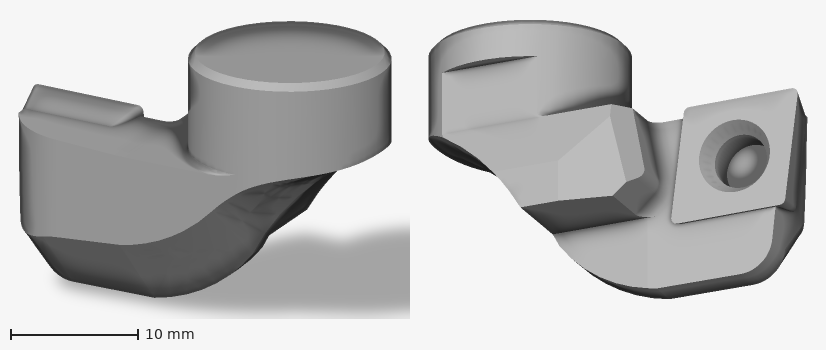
import cadquery as cq
import math

head_diameter = 16.0
head_radius = head_diameter / 2
head_top = 8.3
head_root = -8.3
head_chamfer = 0.55
neck_fillet = 0.4
flat_y = 6.8
flat_top = 5.07
rear_slope_bottom = -4.4

turn_angle = 6.5
turn_sin = math.sin(math.radians(turn_angle))
turn_cos = math.cos(math.radians(turn_angle))
frame_y = -0.35
toe_back_offset = 2.75

toe_corner_radius = 6.15
toe_corner_x = -16.67
toe_corner_sweep = 62.0

sole_heel = (-18.68, -13.45)
sole_toe = (-21.35, -10.85)
sole_lowest = (-11.57, -13.75)
sole_belly = (-7.15, -12.3)
sole_bend = (-3.03, -8.83)
sole_hollow = (2.65, -1.9)
sole_tail = (9.55, 1.75)
toe_round_middle = (-20.65, -12.5)
toe_lean = 6.0

bevel_reach = head_diameter
belly_rise = 14.65
bend_rise = 12.75
hollow_rise = 5.75
tail_rise = -1.27

far = 31.87

deck_blend = (-12.43, -11.0)
toe_top_slope = 3.0

block_top_u = -11.15
block_edge = (-12.3, -5.75)
block_bottom_u = -10.2
toe_rear_y = 1.15
block_nose_start = (-12.72, 5.58)
rear_bevel_start = (-11.95, 6.85)
rear_bevel_end = (-6.75, 8.0)
block_bottom = -7.75
block_edge_fillet = 1.15
cavity_fillet = 0.95
cavity_top = 3.2

insert_edge = 9.65
insert_thickness = 3.98
insert_corner = (-23.95, 0.1, 1.35)
insert_top_tilt = 3.0
insert_side_tilt = 7.0
insert_relief = 10.5
insert_nose_radius = 0.5
insert_hole = 4.4
insert_sink = 6.0
insert_sink_angle = 60.0


def turned_plane(origin):
    """Plane with local X along the cutting end, local Y up and its normal to the front."""
    return cq.Plane(origin=origin, xDir=(turn_cos, turn_sin, 0), normal=(turn_sin, -turn_cos, 0))


def make_insert_blank():
    """Rhombic plate whose four edges taper inward from the back face to the front."""
    top_angle = math.radians(insert_top_tilt)
    side_angle = math.radians(insert_side_tilt)
    top = (insert_edge * math.cos(top_angle), -insert_edge * math.sin(top_angle))
    side = (insert_edge * math.sin(side_angle), -insert_edge * math.cos(side_angle))
    opposite = (top[0] + side[0], top[1] + side[1])
    plane = turned_plane(insert_corner)
    plate = (
        cq.Workplane(plane)
        .polyline([(0, 0), top, opposite, side]).close()
        .extrude(insert_thickness, taper=insert_relief)
    )
    side_edges = [
        edge for edge in plate.edges().vals()
        if 0 < round(plane.toLocalCoords(edge.Center()).z, 3) < insert_thickness
    ]
    return plate.newObject(side_edges).fillet(insert_nose_radius)


def make_insert(blank):
    """Insert with a countersunk clamping hole entered from its back face."""
    back = cq.selectors.DirectionMinMaxSelector(turned_plane(insert_corner).zDir, False)
    return (
        blank.faces(back).workplane(centerOption="CenterOfMass")
        .cskHole(insert_hole, insert_sink, insert_sink_angle)
    )


def make_head():
    """Chamfered round head with a concave flare at the deck."""
    flare_radius = head_radius + neck_fillet
    blend = neck_fillet * (1 - math.sqrt(0.5))
    return (
        cq.Workplane("XZ")
        .moveTo(0, head_root).lineTo(flare_radius, head_root).lineTo(flare_radius, 0)
        .threePointArc((head_radius + blend, blend), (head_radius, neck_fillet))
        .lineTo(head_radius, head_top - head_chamfer)
        .lineTo(head_radius - head_chamfer, head_top)
        .lineTo(0, head_top).close()
        .revolve(360, (0, 0), (0, 1))
    )


def make_plan():
    """Prism over the whole plan outline: round head end, straight sides, rounded front corner."""
    sweep = math.radians(toe_corner_sweep)
    corner_y = toe_corner_radius - head_radius

    def on_corner(angle):
        return (
            toe_corner_x - toe_corner_radius * math.sin(angle),
            corner_y - toe_corner_radius * math.cos(angle),
        )

    return (
        cq.Workplane("XY").workplane(offset=-far)
        .moveTo(0, -head_radius).lineTo(toe_corner_x, -head_radius)
        .threePointArc(on_corner(sweep / 2), on_corner(sweep))
        .lineTo(-far, 0).lineTo(-far, head_radius).lineTo(0, head_radius)
        .threePointArc((head_radius, 0), (0, -head_radius)).close()
        .extrude(2 * far)
    )


def make_deck():
    """Space below the flat deck and the toe top that slopes up from it."""
    blend_start, blend_end = deck_blend
    slope = math.tan(math.radians(toe_top_slope))
    blend_middle = (blend_start + blend_end) / 2
    return (
        cq.Workplane(turned_plane((0, frame_y, 0)))
        .moveTo(far, 0).lineTo(blend_end, 0)
        .tangentArcPoint((blend_start, (blend_middle - blend_start) * slope), relative=False)
        .lineTo(-far, (blend_middle + far) * slope)
        .lineTo(-far, -far).lineTo(far, -far).close()
        .extrude(far, both=True)
    )


def sole_outline(plane, rises, toe_shift):
    """Region above the sole curve, with its toe, belly, bend, hollow and tail lifted."""
    rise, belly, bend, hollow, tail = rises

    def moved(point, height, shift=0):
        return (point[0] + shift, point[1] + height)

    toe = moved(sole_toe, rise, toe_shift)
    lean_x = toe[0] - (far - toe[1]) * math.tan(math.radians(toe_lean))
    return (
        cq.Workplane(plane)
        .moveTo(lean_x, far).lineTo(*toe)
        .threePointArc(moved(toe_round_middle, rise, toe_shift / 2), moved(sole_heel, rise))
        .lineTo(*moved(sole_lowest, rise))
        .threePointArc(moved(sole_belly, belly), moved(sole_bend, bend))
        .threePointArc(moved(sole_hollow, hollow), moved(sole_tail, tail))
        .lineTo(sole_tail[0], far).close().wire().val()
    )


def make_sole_envelope():
    """Space above the sole: straight behind the turned plane, beveled at 45 degrees ahead of it."""
    plane = turned_plane((0, frame_y, 0))
    edge = sole_outline(plane, (0, 0, 0, 0, 0), 0)
    front_plane = turned_plane((plane.origin + plane.zDir * bevel_reach).toTuple())
    front_rises = (bevel_reach, belly_rise, bend_rise, hollow_rise, tail_rise)
    toe_shift = -bevel_reach * math.tan(math.radians(toe_lean))
    front_edge = sole_outline(front_plane, front_rises, toe_shift)
    back = cq.Solid.extrudeLinear(cq.Face.makeFromWires(edge), plane.zDir * -bevel_reach)
    front = cq.Solid.makeLoft([edge, front_edge], True)
    return cq.Workplane(back).union(cq.Workplane(front))


def make_rear_cavity():
    """Space behind the toe, around the rear block."""
    plane = turned_plane((-toe_back_offset * turn_sin, frame_y + toe_back_offset * turn_cos, 0))
    slope = (block_top_u - block_edge[0]) / -block_edge[1]
    cavity = (
        cq.Workplane(plane)
        .polyline([
            (-far, cavity_top), (block_top_u + cavity_top * slope, cavity_top), block_edge,
            (block_bottom_u, block_bottom), (far, block_bottom), (far, -far), (-far, -far),
        ]).close()
        .extrude(-far)
    )
    block_corner = plane.toWorldCoords(block_edge + (-far / 2,))
    at_corner = cq.selectors.NearestToPointSelector(block_corner.toTuple())
    cavity = cavity.edges(at_corner).fillet(block_edge_fillet)
    side = plane.toWorldCoords(((block_top_u + block_edge[0]) / 2, block_edge[1] / 2, 0))
    at_side = cq.selectors.NearestToPointSelector(side.toTuple())
    return cavity.edges(at_side).fillet(cavity_fillet)


def make_toe_rear_cut():
    """Space behind the toe and below the rear block."""
    return (
        cq.Workplane("XY").box(2 * far, far, far, centered=(True, False, False))
        .translate((0, toe_rear_y, block_bottom - far))
    )


def make_rear_cut():
    """Rear flat on the head and the face sloping outward below the deck."""
    return (
        cq.Workplane("YZ")
        .polyline([
            (flat_y, flat_top), (flat_y, 0), (head_radius, rear_slope_bottom), (far, rear_slope_bottom),
            (far, flat_top),
        ]).close()
        .extrude(far, both=True)
    )


def make_nose_bevel():
    """Bevel beside the block's end face, leaning as that face does."""
    lean = cq.Vector((block_top_u - block_edge[0]) / -block_edge[1], 0, 1)
    start_x, start_y = block_nose_start
    end_x, end_y = rear_bevel_start
    run_x = end_x - start_x
    run_y = end_y - start_y
    triangle = (
        cq.Workplane("XY").workplane(offset=block_edge[1])
        .polyline([
            (start_x - run_x, start_y - run_y), (end_x + run_x, end_y + run_y),
            (start_x - run_x, end_y + run_y),
        ]).close().wire().val()
    )
    face = cq.Face.makeFromWires(triangle)
    upper = cq.Solid.extrudeLinear(face, lean * (flat_top - block_edge[1]))
    lower = cq.Solid.extrudeLinear(face, lean * block_edge[1])
    return cq.Workplane(upper).union(cq.Workplane(lower))


def make_rear_bevel():
    """Upright bevel across the rear corner of the block."""
    slope = (rear_bevel_end[1] - rear_bevel_start[1]) / (rear_bevel_end[0] - rear_bevel_start[0])
    left_y = rear_bevel_end[1] - (rear_bevel_end[0] + far) * slope
    return (
        cq.Workplane("XY").workplane(offset=-far)
        .polyline([rear_bevel_end, (-far, left_y), (-far, far), (rear_bevel_end[0], far)]).close()
        .extrude(2 * far)
    )


def make_holder(seat):
    """Tool holder with a seat that matches the insert."""
    plan = make_plan()
    return (
        make_head().union(make_deck().intersect(plan)).intersect(plan)
        .intersect(make_sole_envelope())
        .cut(make_rear_cavity())
        .cut(make_toe_rear_cut())
        .cut(make_rear_cut())
        .cut(make_nose_bevel())
        .cut(make_rear_bevel())
        .cut(seat)
    )


insert_blank = make_insert_blank()
insert = make_insert(insert_blank).solids()
holder = make_holder(insert_blank).solids()
result = cq.Compound.makeCompound([holder.val(), insert.val()])